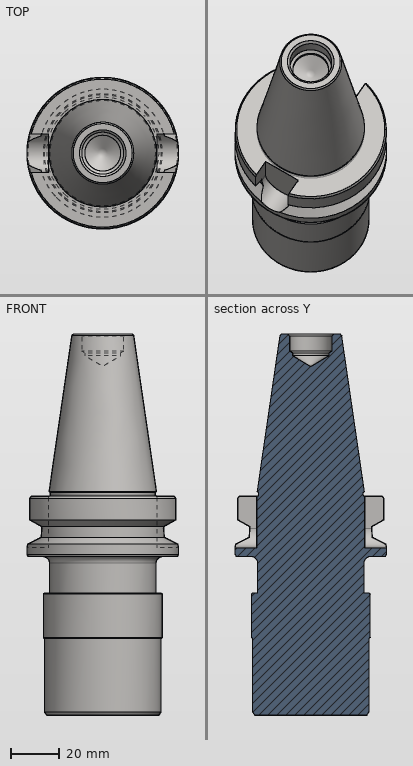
import cadquery as cq
import math

length = 158.4

gauge_radius = 22.3
taper_length = 65.4
taper_ratio = 7 / 24
taper_end_chamfer = 0.6
relief_depth = 0.5
relief_chamfer = 0.5
relief_fillet = 0.5

lower_rim_radius = 31.5
upper_rim_radius = 31.4
flange_gap = 1.9
flange_height = 25.2
flange_top_chamfer_width = 0.6
flange_top_chamfer_height = 1.0
flange_bottom_chamfer_width = 0.5
flange_bottom_chamfer_height = 1.0
groove_radius = 26.6
groove_floor_height = 4.5
groove_flank_angle = 30.0
lower_rim_height = 5.2

neck_radius = 22.2
neck_fillet = 2.7
collar_radius = 24.7
collar_bottom = 31.8
collar_height = 19.0
body_radius = 24.2
collar_chamfer = collar_radius - body_radius
body_chamfer_width = 1.0
body_chamfer_height = 1.5

keyway_width = 16.0
keyway_flat = 22.5
keyway_end_z = 69.7

bore_radius = 8.7
bore_depth = 7.1
bore_countersink = 1.0
step_angle = 60.0
hole_radius = 7.5
hole_depth = 9.0
drill_point_angle = 118.0

fillet_middle_offset = 1 - math.sqrt(0.5)

gauge_z = length - taper_length
flange_top = gauge_z - flange_gap
flange_bottom = flange_top - flange_height
collar_top = collar_bottom + collar_height
flank_slope = math.tan(math.radians(groove_flank_angle))
lower_rim_top = flange_bottom + lower_rim_height
groove_floor_bottom = lower_rim_top + (lower_rim_radius - groove_radius) * flank_slope
groove_floor_top = groove_floor_bottom + groove_floor_height
upper_rim_bottom = groove_floor_top + (upper_rim_radius - groove_radius) * flank_slope


def turned_body():
    """Outer shape, revolved from its half section (radius, height)."""
    relief_radius = gauge_radius - relief_depth
    taper_end_z = length - taper_end_chamfer
    taper_end_radius = gauge_radius - (taper_end_z - gauge_z) * taper_ratio / 2
    neck_fillet_middle = (
        neck_radius + neck_fillet * fillet_middle_offset,
        flange_bottom - neck_fillet * fillet_middle_offset,
    )
    relief_fillet_middle = (
        relief_radius + relief_fillet * fillet_middle_offset,
        flange_top + relief_fillet * fillet_middle_offset,
    )
    profile = (
        cq.Workplane("XZ")
        .moveTo(0, 0)
        .lineTo(body_radius - body_chamfer_width, 0)
        .lineTo(body_radius, body_chamfer_height)
        .lineTo(body_radius, collar_bottom)
        .lineTo(collar_radius, collar_bottom + collar_chamfer)
        .lineTo(collar_radius, collar_top - collar_chamfer)
        .lineTo(collar_radius - collar_chamfer, collar_top)
        .lineTo(neck_radius, collar_top)
        .lineTo(neck_radius, flange_bottom - neck_fillet)
        .threePointArc(neck_fillet_middle, (neck_radius + neck_fillet, flange_bottom))
        .lineTo(lower_rim_radius - flange_bottom_chamfer_width, flange_bottom)
        .lineTo(lower_rim_radius, flange_bottom + flange_bottom_chamfer_height)
        .lineTo(lower_rim_radius, lower_rim_top)
        .lineTo(groove_radius, groove_floor_bottom)
        .lineTo(groove_radius, groove_floor_top)
        .lineTo(upper_rim_radius, upper_rim_bottom)
        .lineTo(upper_rim_radius, flange_top - flange_top_chamfer_height)
        .lineTo(upper_rim_radius - flange_top_chamfer_width, flange_top)
        .lineTo(relief_radius + relief_fillet, flange_top)
        .threePointArc(relief_fillet_middle, (relief_radius, flange_top + relief_fillet))
        .lineTo(relief_radius, gauge_z - relief_chamfer)
        .lineTo(gauge_radius, gauge_z)
        .lineTo(taper_end_radius, taper_end_z)
        .lineTo(taper_end_radius - taper_end_chamfer, length)
        .lineTo(0, length)
        .close()
    )
    return profile.revolve(360, (0, 0), (0, 1))


def stepped_bore():
    """Countersunk bore, a conical step, then a smaller hole ending in a drill point."""
    bore_bottom = length - bore_depth
    step_height = (bore_radius - hole_radius) / math.tan(math.radians(step_angle))
    hole_bottom = length - hole_depth
    drill_point = hole_radius / math.tan(math.radians(drill_point_angle / 2))
    profile = (
        cq.Workplane("XZ")
        .moveTo(0, length)
        .lineTo(bore_radius + bore_countersink, length)
        .lineTo(bore_radius, length - bore_countersink)
        .lineTo(bore_radius, bore_bottom)
        .lineTo(hole_radius, bore_bottom - step_height)
        .lineTo(hole_radius, hole_bottom)
        .lineTo(0, hole_bottom - drill_point)
        .close()
    )
    return profile.revolve(360, (0, 0), (0, 1))


def keyway(side):
    """Round-ended slot cut down through the flange; side is -1 or +1 along X."""
    half_width = keyway_width / 2
    cut_depth = lower_rim_radius - keyway_flat
    profile = (
        cq.Workplane("YZ", origin=(side * keyway_flat, 0, 0))
        .moveTo(-half_width, flange_top)
        .lineTo(-half_width, keyway_end_z + half_width)
        .threePointArc((0, keyway_end_z), (half_width, keyway_end_z + half_width))
        .lineTo(half_width, flange_top)
        .close()
    )
    return profile.extrude(side * cut_depth)


result = turned_body().cut(stepped_bore())
for side in (-1, 1):
    result = result.cut(keyway(side))